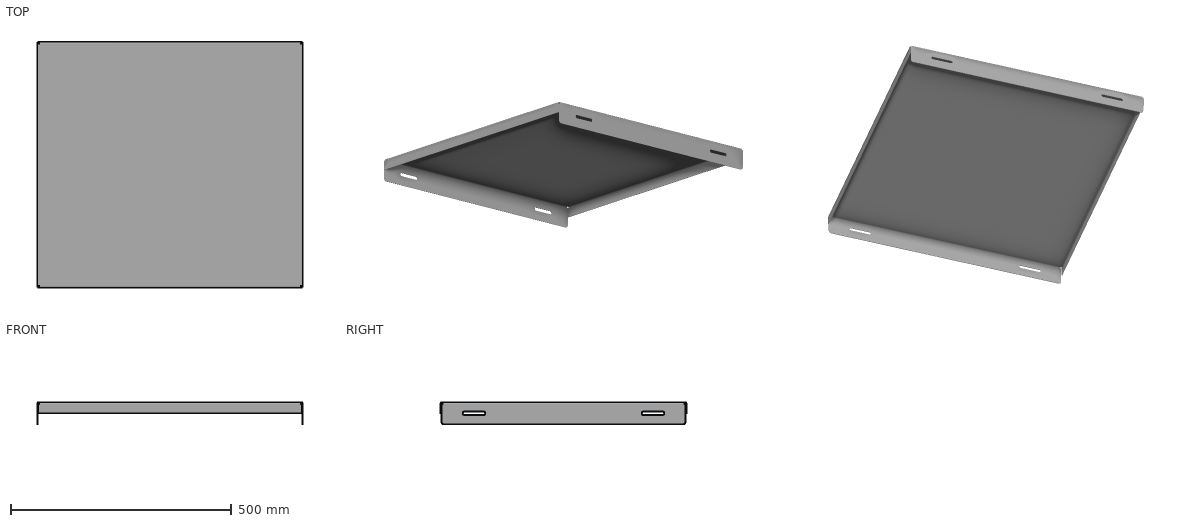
import cadquery as cq

LENGTH_X = 603.25
WIDTH_Y = 558.8
HEIGHT = 50.8

SHEET = 1.5
BEND_RADIUS = 4.2
INNER_RADIUS = BEND_RADIUS - SHEET
END_FLANGE_HEIGHT = HEIGHT / 2
CORNER_RELIEF = 2.0
FLANGE_CORNER_RADIUS = 6.35

SLOT_LENGTH = 50.8
SLOT_HEIGHT = 7.5
SLOT_END_OFFSET = 50.8
SLOT_TOP_OFFSET = 25.4


def rounded_block(length, width, top, radius):
    """Block standing on Z = 0 with its four top edges rounded."""
    block = cq.Workplane("XY").box(length, width, top, centered=(True, True, False))
    return block.faces(">Z").edges().fillet(radius)


def make_pan():
    """Open-bottomed tray of uniform sheet thickness with bent top edges."""
    outside = rounded_block(LENGTH_X, WIDTH_Y, HEIGHT, BEND_RADIUS)
    inside = rounded_block(LENGTH_X - 2 * SHEET, WIDTH_Y - 2 * SHEET, HEIGHT - SHEET, INNER_RADIUS)
    return outside.cut(inside)


def corner_columns(inset, bottom):
    """Columns reaching from the bottom level to the top at the four corners."""
    return (
        cq.Workplane("XY", origin=(0, 0, bottom))
        .rect(LENGTH_X, WIDTH_Y, forConstruction=True)
        .vertices()
        .rect(2 * inset, 2 * inset)
        .extrude(HEIGHT - bottom)
    )


def end_flange_trim():
    """Space below the front and back flanges, clear of the side flanges."""
    return cq.Workplane("XY").box(
        LENGTH_X - 2 * CORNER_RELIEF,
        WIDTH_Y,
        HEIGHT - END_FLANGE_HEIGHT,
        centered=(True, True, False),
    )


def hanging_slots():
    """Slots through both side flanges, one near each end."""
    slot_y = WIDTH_Y / 2 - SLOT_END_OFFSET - SLOT_LENGTH / 2
    return (
        cq.Workplane("YZ", origin=(-LENGTH_X / 2, 0, HEIGHT - SLOT_TOP_OFFSET))
        .pushPoints([(-slot_y, 0), (slot_y, 0)])
        .slot2D(SLOT_LENGTH, SLOT_HEIGHT)
        .extrude(LENGTH_X)
    )


pan = make_pan()
pan = pan.cut(corner_columns(CORNER_RELIEF, 0))
pan = pan.cut(corner_columns(BEND_RADIUS, HEIGHT - BEND_RADIUS))
pan = pan.cut(end_flange_trim())
pan = pan.faces("<Z").edges("|X").fillet(FLANGE_CORNER_RADIUS)
result = pan.cut(hanging_slots())